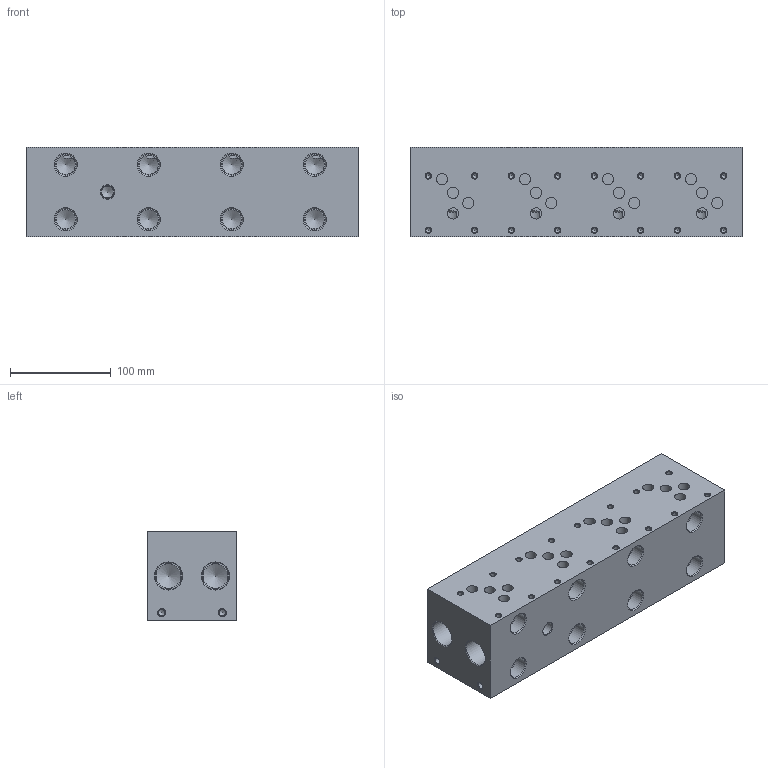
import cadquery as cq
import math

LENGTH = 330.2
WIDTH = 88.9
HEIGHT = 88.9
MID_WIDTH = WIDTH / 2
MID_HEIGHT = HEIGHT / 2

DRILL_POINT_ANGLE = 118.0
MOUTH_ANGLE = 90.0

STATION_COUNT = 4
STATION_PITCH = 82.55

SCREW_SPAN_X = 46.0
SCREW_SPAN_Y = 54.0
FIRST_SCREW_X = (LENGTH - (STATION_COUNT - 1) * STATION_PITCH - SCREW_SPAN_X) / 2
FIRST_SCREW_Y = 6.35
SCREW_DIA = 4.98
SCREW_MOUTH_DIA = 6.35
SCREW_DEPTH = 15.0

PASSAGE_DIA = 11.2
PASSAGE_DEPTH = 10.9
PASSAGE_T = (13.5, 50.8)
PASSAGE_A = (24.6, 37.3)
PASSAGE_P = (39.7, 27.0)
PASSAGE_B = (24.6, 16.7)

FIRST_WORK_PORT_X = 39.5
WORK_PORT_SPACING = 54.0
WORK_PORT_DIA = 19.1
WORK_PORT_MOUTH_DIA = 23.0
WORK_PORT_THREAD_DIA = 20.95
WORK_PORT_THREAD_DEPTH = 14.0
WORK_PORT_DEPTH = 24.5

GAUGE_PORT_X = 81.1
GAUGE_PORT_DIA = 11.8
GAUGE_PORT_MOUTH_DIA = 14.2
GAUGE_PORT_THREAD_DIA = 13.1
GAUGE_PORT_THREAD_DEPTH = 11.0
GAUGE_PORT_DEPTH = 15.0

END_PORT_SPACING = 46.7
END_PORT_DIA = 24.4
END_PORT_MOUTH_DIA = 28.0
END_PORT_THREAD_DIA = 26.44
END_PORT_THREAD_DEPTH = 22.0
END_PORT_DEPTH = 30.0

BRACKET_SCREW_SPACING = 60.4
BRACKET_SCREW_Z = 8.0
BRACKET_SCREW_DIA = 6.41
BRACKET_SCREW_MOUTH_DIA = 7.94
BRACKET_SCREW_DEPTH = 20.0

INTO_TOP = cq.Vector(0, 0, -1)
INTO_FRONT = cq.Vector(0, 1, 0)
INTO_LEFT_END = cq.Vector(1, 0, 0)


def conical_mouth(start, direction, dia, mouth_dia):
    """Cutter for a countersink that narrows from mouth_dia to dia."""
    mouth_depth = (mouth_dia - dia) / 2 / math.tan(math.radians(MOUTH_ANGLE / 2))
    return cq.Solid.makeCone(mouth_dia / 2, dia / 2, mouth_depth, start, direction)


def drilled_bore(start, direction, dia, depth):
    """Cutter for a blind bore that ends in a conical drill point."""
    radius = dia / 2
    point_length = radius / math.tan(math.radians(DRILL_POINT_ANGLE / 2))
    bore = cq.Solid.makeCylinder(radius, depth, start, direction)
    point = cq.Solid.makeCone(radius, 0, point_length, start + direction * depth, direction)
    return bore.fuse(point)


def screw_hole(start, direction, dia, mouth_dia, depth):
    """Cutter for a drilled hole with a countersunk mouth."""
    bore = drilled_bore(start, direction, dia, depth)
    return bore.fuse(conical_mouth(start, direction, dia, mouth_dia))


def threaded_port(start, direction, dia, depth, thread_dia, thread_depth, mouth_dia):
    """Cutter for a drilled port with a wider thread bore behind its countersunk mouth."""
    bore = drilled_bore(start, direction, dia, depth)
    thread = cq.Solid.makeCylinder(thread_dia / 2, thread_depth, start, direction)
    return bore.fuse(thread, conical_mouth(start, direction, thread_dia, mouth_dia))


def station_offsets():
    return [index * STATION_PITCH for index in range(STATION_COUNT)]


def mounting_screw_holes():
    holes = []
    for offset in station_offsets():
        for dx in (0, SCREW_SPAN_X):
            for dy in (0, SCREW_SPAN_Y):
                start = cq.Vector(FIRST_SCREW_X + offset + dx, FIRST_SCREW_Y + dy, HEIGHT)
                holes.append(screw_hole(start, INTO_TOP, SCREW_DIA, SCREW_MOUTH_DIA, SCREW_DEPTH))
    return holes


def valve_passages():
    """Flat-bottomed passages; passage B breaks into the upper work port."""
    passages = []
    for offset in station_offsets():
        for dx, dy in (PASSAGE_T, PASSAGE_A, PASSAGE_P, PASSAGE_B):
            start = cq.Vector(FIRST_SCREW_X + offset + dx, FIRST_SCREW_Y + dy, HEIGHT)
            passages.append(cq.Solid.makeCylinder(PASSAGE_DIA / 2, PASSAGE_DEPTH, start, INTO_TOP))
    return passages


def work_ports():
    ports = []
    for offset in station_offsets():
        for side in (-1, 1):
            port = threaded_port(
                cq.Vector(FIRST_WORK_PORT_X + offset, 0, MID_HEIGHT + side * WORK_PORT_SPACING / 2),
                INTO_FRONT,
                WORK_PORT_DIA,
                WORK_PORT_DEPTH,
                WORK_PORT_THREAD_DIA,
                WORK_PORT_THREAD_DEPTH,
                WORK_PORT_MOUTH_DIA,
            )
            ports.append(port)
    return ports


def gauge_port():
    return threaded_port(
        cq.Vector(GAUGE_PORT_X, 0, MID_HEIGHT),
        INTO_FRONT,
        GAUGE_PORT_DIA,
        GAUGE_PORT_DEPTH,
        GAUGE_PORT_THREAD_DIA,
        GAUGE_PORT_THREAD_DEPTH,
        GAUGE_PORT_MOUTH_DIA,
    )


def end_ports():
    ports = []
    for side in (-1, 1):
        port = threaded_port(
            cq.Vector(0, MID_WIDTH + side * END_PORT_SPACING / 2, MID_HEIGHT),
            INTO_LEFT_END,
            END_PORT_DIA,
            END_PORT_DEPTH,
            END_PORT_THREAD_DIA,
            END_PORT_THREAD_DEPTH,
            END_PORT_MOUTH_DIA,
        )
        ports.append(port)
    return ports


def bracket_screw_holes():
    holes = []
    for side in (-1, 1):
        hole = screw_hole(
            cq.Vector(0, MID_WIDTH + side * BRACKET_SCREW_SPACING / 2, BRACKET_SCREW_Z),
            INTO_LEFT_END,
            BRACKET_SCREW_DIA,
            BRACKET_SCREW_MOUTH_DIA,
            BRACKET_SCREW_DEPTH,
        )
        holes.append(hole)
    return holes


block = cq.Solid.makeBox(LENGTH, WIDTH, HEIGHT)
cutters = [
    *mounting_screw_holes(),
    *valve_passages(),
    *work_ports(),
    gauge_port(),
    *end_ports(),
    *bracket_screw_holes(),
]
result = cq.Workplane("XY").newObject([block.cut(*cutters)])